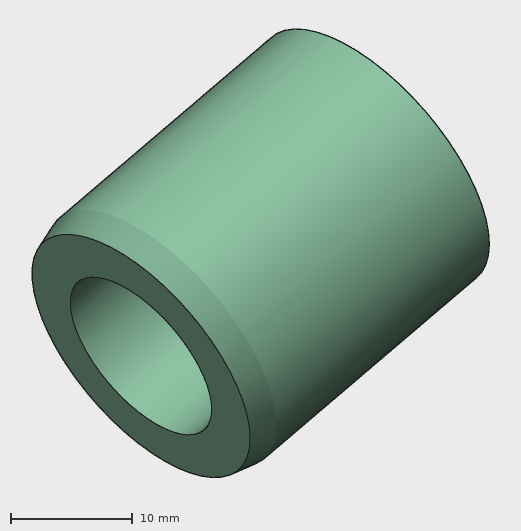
import cadquery as cq

length = 28.0
outer_diameter = 26.0
bore_diameter = 16.0
taper_length = 2.5
taper_inset = 0.67

outer_radius = outer_diameter / 2
bore_radius = bore_diameter / 2
front_y = -length / 2
back_y = length / 2

half_section = (
    cq.Workplane("XY")
    .moveTo(bore_radius, front_y)
    .lineTo(outer_radius - taper_inset, front_y)
    .lineTo(outer_radius, front_y + taper_length)
    .lineTo(outer_radius, back_y)
    .lineTo(bore_radius, back_y)
    .close()
)

result = half_section.revolve(360, (0, 0, 0), (0, 1, 0))